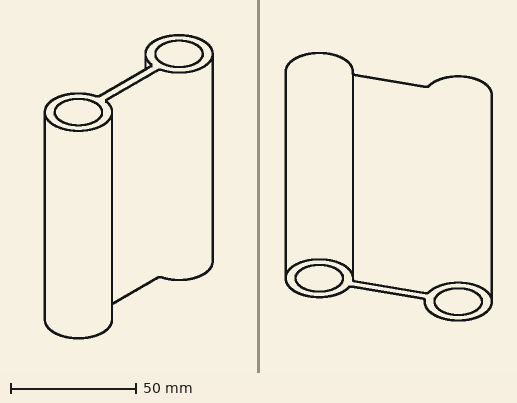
import cadquery as cq

height = 100.0
overall_span = 85.0
tube_diameter = 27.0
bore_diameter = 19.0
web_thickness = 4.0
web_fillet = 1.0

tube_spacing = overall_span - tube_diameter
tube_centers = [(0, -tube_spacing / 2), (0, tube_spacing / 2)]

tubes = cq.Workplane("XY").pushPoints(tube_centers).circle(tube_diameter / 2).extrude(height)
web = cq.Workplane("XY").rect(web_thickness, tube_spacing).extrude(height)
body = tubes.union(web)

corner_reach = tube_spacing / 2 - tube_diameter / 4
web_corners = cq.selectors.BoxSelector(
    (-web_thickness, -corner_reach, 0),
    (web_thickness, corner_reach, height),
)
body = body.edges("|Z").edges(web_corners).fillet(web_fillet)

bores = cq.Workplane("XY").pushPoints(tube_centers).circle(bore_diameter / 2).extrude(height)
result = body.cut(bores)